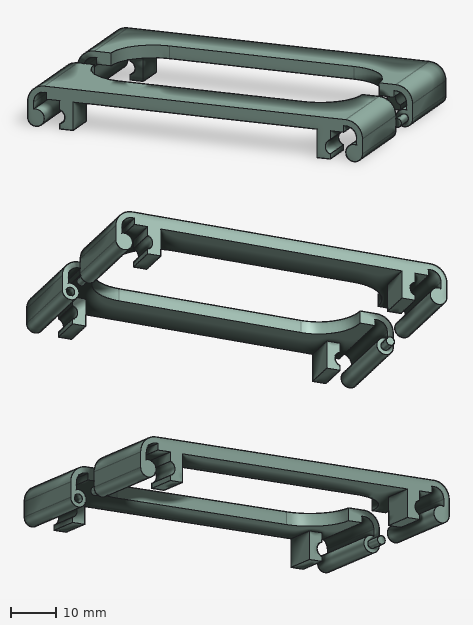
import cadquery as cq
import math

LENGTH = 80.0
HEIGHT = 9.5
HALF_DEPTH = 20.0
PAIR_DEPTH = 50.0

PLATE = 3.0
WALL = 1.4
CORNER_RADIUS = 4.0
BEAD_RADIUS = 2.0
PLATE_STEP = 4.5
LEG_OUTSIDE = 7.7
LEG_INSIDE = 10.9
LEG_DEPTH = 8.0
GROOVE_RADIUS = 1.7
GROOVE_FROM_END = 7.2
GROOVE_Z = 2.8

WINDOW_LENGTH = 64.0
WINDOW_DEPTH = 10.0

PIN_DIAMETER = 2.0
BACK_PIN_LENGTH = 4.2
FRONT_PIN_LENGTH = 3.0

END_X = LENGTH / 2
BEAD_X = END_X - BEAD_RADIUS
BEAD_Z = BEAD_RADIUS
INNER_Y = PAIR_DEPTH / 2 - HALF_DEPTH


def profile_plane():
    """XZ plane on the outer face of the back half; extruding runs inwards."""
    return cq.Workplane("XZ", origin=(0, PAIR_DEPTH / 2, 0))


def make_plate():
    """Flat plate, up to the step where each hook wall begins."""
    plate_length = LENGTH - 2 * PLATE_STEP
    outline = profile_plane().center(0, HEIGHT - PLATE / 2).rect(plate_length, PLATE)
    return outline.extrude(HALF_DEPTH)


def make_left_hook():
    """Curved wall that ends in a round bead."""
    corner_x = -END_X + CORNER_RADIUS
    corner_z = HEIGHT - CORNER_RADIUS
    inner_radius = CORNER_RADIUS - WALL
    diagonal = math.sqrt(0.5)
    step_x = -END_X + PLATE_STEP
    wall = (
        profile_plane()
        .moveTo(step_x, HEIGHT)
        .lineTo(corner_x, HEIGHT)
        .threePointArc(
            (corner_x - CORNER_RADIUS * diagonal, corner_z + CORNER_RADIUS * diagonal),
            (-END_X, corner_z),
        )
        .lineTo(-END_X, BEAD_Z)
        .lineTo(-END_X + WALL, BEAD_Z)
        .lineTo(-END_X + WALL, corner_z)
        .threePointArc(
            (corner_x - inner_radius * diagonal, corner_z + inner_radius * diagonal),
            (corner_x, HEIGHT - WALL),
        )
        .lineTo(step_x, HEIGHT - WALL)
        .close()
    )
    bead = profile_plane().center(-BEAD_X, BEAD_Z).circle(BEAD_RADIUS)
    return wall.extrude(HALF_DEPTH).union(bead.extrude(HALF_DEPTH))


def make_left_leg():
    """Leg at the outer edge, below the plate, with a round snap groove facing the bead."""
    leg_width = LEG_INSIDE - LEG_OUTSIDE
    leg_x = -END_X + (LEG_OUTSIDE + LEG_INSIDE) / 2
    leg_top = HEIGHT - PLATE / 2
    leg = profile_plane().center(leg_x, leg_top / 2).rect(leg_width, leg_top)
    groove = profile_plane().center(-END_X + GROOVE_FROM_END, GROOVE_Z).circle(GROOVE_RADIUS)
    return leg.extrude(LEG_DEPTH).cut(groove.extrude(LEG_DEPTH))


def make_window():
    """Opening with quarter-round corners, shared by both halves."""
    return (
        cq.Workplane("XY")
        .rect(WINDOW_LENGTH, 2 * (INNER_Y + WINDOW_DEPTH))
        .extrude(HEIGHT)
        .edges("|Z")
        .fillet(WINDOW_DEPTH)
    )


def pin_cylinder(x, start_y, length):
    """Pin-sized cylinder on a bead axis, running towards +Y from start_y."""
    return cq.Workplane("XZ", origin=(x, start_y, BEAD_Z)).circle(PIN_DIAMETER / 2).extrude(-length)


def make_half(pin_length, socket_depth):
    """Back half: pin on the right bead, socket in the left bead."""
    left_side = make_left_hook().union(make_left_leg())
    body = make_plate().union(left_side).union(left_side.mirror("YZ"))
    body = body.cut(make_window())
    body = body.union(pin_cylinder(BEAD_X, INNER_Y - pin_length, pin_length))
    return body.cut(pin_cylinder(-BEAD_X, INNER_Y, socket_depth))


back_half = make_half(BACK_PIN_LENGTH, FRONT_PIN_LENGTH)
front_half = make_half(FRONT_PIN_LENGTH, BACK_PIN_LENGTH).rotate((0, 0, 0), (0, 0, 1), 180)

result = cq.Compound.makeCompound([back_half.val(), front_half.val()])